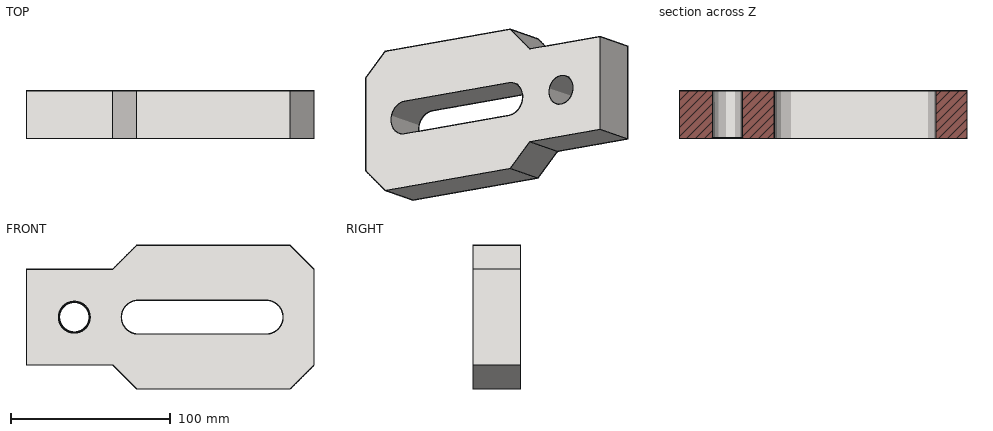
import cadquery as cq

length = 180.0
thickness = 30.0
height = 90.0

neck_length = 54.0
neck_height = 60.0
corner = (height - neck_height) / 2

hole_x = 30.0
hole_diameter = 18.4
countersink_diameter = 20.0
countersink_depth = (countersink_diameter - hole_diameter) / 2

slot_first_center = 70.0
slot_last_center = 150.0
slot_width = 21.0


def make_plate():
    """Plate outline, symmetric about Z = 0, with its front face on Y = 0."""
    upper_outline = [
        (0, neck_height / 2),
        (neck_length, neck_height / 2),
        (neck_length + corner, height / 2),
        (length - corner, height / 2),
        (length, height / 2 - corner),
    ]
    lower_outline = [(x, -z) for x, z in reversed(upper_outline)]
    outline = cq.Workplane("XZ").polyline(upper_outline + lower_outline).close()
    return outline.extrude(-thickness)


def make_slot():
    """Round-ended slot cutter through the full thickness."""
    slot_center = (slot_first_center + slot_last_center) / 2
    slot_length = slot_last_center - slot_first_center + slot_width
    profile = cq.Workplane("XZ").center(slot_center, 0).slot2D(slot_length, slot_width)
    return profile.extrude(-thickness)


def make_hole():
    """Through-hole cutter with a 45 degree countersink on the front face."""
    hole_radius = hole_diameter / 2
    countersink_radius = countersink_diameter / 2
    half_section = [
        (hole_x, 0),
        (hole_x + countersink_radius, 0),
        (hole_x + hole_radius, countersink_depth),
        (hole_x + hole_radius, thickness),
        (hole_x, thickness),
    ]
    section = cq.Workplane("XY").polyline(half_section).close()
    return section.revolve(360, (hole_x, 0, 0), (hole_x, thickness, 0))


result = make_plate().cut(make_slot()).cut(make_hole())